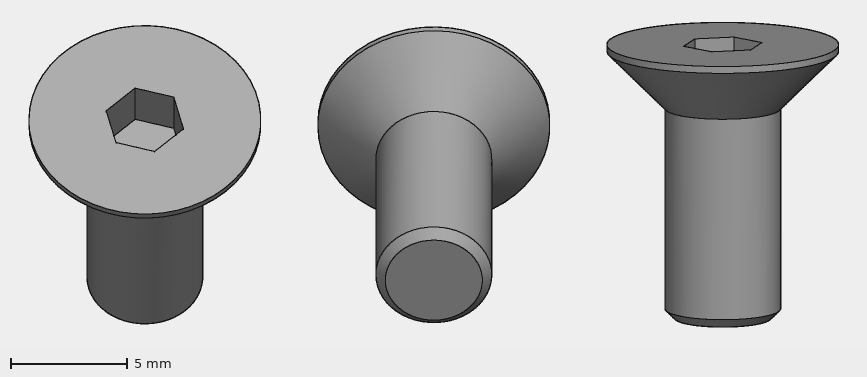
import cadquery as cq
import math

total_length = 12.0
head_diameter = 10.0
rim_height = 0.3
tip_chamfer = 0.41
socket_across_flats = 3.0
socket_depth = 2.3

head_radius = head_diameter / 2
shank_radius = head_radius / 2
cone_height = head_radius - shank_radius
rim_bottom = total_length - rim_height
cone_bottom = rim_bottom - cone_height
socket_across_corners = socket_across_flats / math.cos(math.radians(30))


def screw_body():
    """Revolve the half profile of shank and countersunk head about Z."""
    return (
        cq.Workplane("XZ")
        .lineTo(shank_radius - tip_chamfer, 0)
        .lineTo(shank_radius, tip_chamfer)
        .lineTo(shank_radius, cone_bottom)
        .lineTo(head_radius, rim_bottom)
        .lineTo(head_radius, total_length)
        .lineTo(0, total_length)
        .close()
        .revolve(360, (0, 0), (0, 1))
    )


def hex_socket():
    """Hexagonal prism sunk from the top face, with corners on the Y axis."""
    return (
        cq.Workplane("XY")
        .workplane(offset=total_length - socket_depth)
        .transformed(rotate=(0, 0, 90))
        .polygon(6, socket_across_corners)
        .extrude(socket_depth)
    )


result = screw_body().cut(hex_socket())